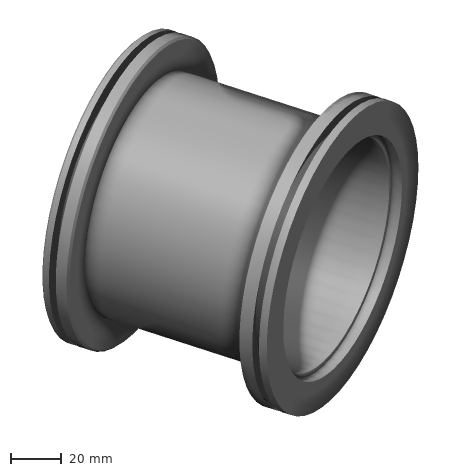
import cadquery as cq

length = 100.0
flange_diameter = 130.0
flange_thickness = 12.1
tube_diameter = 102.0
bore_diameter = 97.6

counterbore_diameter = 101.7
counterbore_depth = 4.5

rim_groove_width = 3.0
rim_lip_width = 3.4
rim_groove_radius = rim_groove_width / 2
rim_groove_offset = rim_lip_width + rim_groove_radius

rim_chamfer = 0.9

recess_inner_diameter = 112.3
recess_outer_diameter = 125.0
recess_depth = 2.0

left_end = -length / 2
right_end = length / 2


def cylinder(start, diameter, height):
    """Solid cylinder running in +X from the given position."""
    return cq.Workplane("YZ", origin=(start, 0, 0)).circle(diameter / 2).extrude(height)


def ring(start, outer_diameter, inner_diameter, height):
    """Annular solid running in +X from the given position."""
    return cylinder(start, outer_diameter, height).cut(cylinder(start, inner_diameter, height))


def rim_groove(centre):
    """Torus that cuts a half-round groove into a flange rim."""
    return (
        cq.Workplane("XY")
        .center(centre, flange_diameter / 2)
        .circle(rim_groove_radius)
        .revolve(360, (-centre, -flange_diameter / 2), (1.3 - centre, -flange_diameter / 2))
    )


left_flange = cylinder(left_end, flange_diameter, flange_thickness).edges().chamfer(rim_chamfer)
left_flange = left_flange.cut(rim_groove(left_end + rim_groove_offset))

right_flange_face = right_end - flange_thickness
right_flange = cylinder(right_flange_face, flange_diameter, flange_thickness)
right_flange = right_flange.cut(rim_groove(right_end - rim_groove_offset))
right_flange = right_flange.cut(
    ring(right_flange_face, recess_outer_diameter, recess_inner_diameter, recess_depth)
)

result = cylinder(left_end, tube_diameter, length).union(left_flange).union(right_flange)
result = result.cut(cylinder(left_end, bore_diameter, length))
for counterbore_start in (left_end, right_end - counterbore_depth):
    result = result.cut(cylinder(counterbore_start, counterbore_diameter, counterbore_depth))